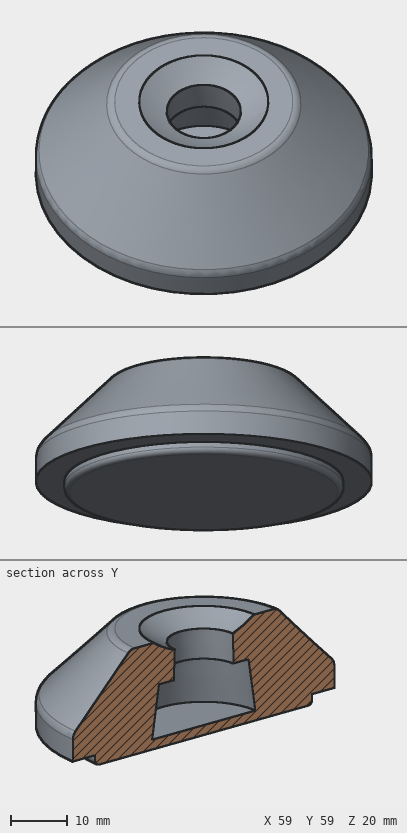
import cadquery as cq
import math

outer_radius = 29.5
height = 20.0
foot_radius = 49.0 / 2
foot_height = 1.95
foot_edge_radius = 1.0

shoulder_height = 6.95
flank_angle = 45.0
blend_radius = 2.0
flank_rise = height - shoulder_height
top_radius = outer_radius - flank_rise / math.tan(math.radians(flank_angle))

neck_radius = 6.5
neck_bottom_radius = 6.65
neck_depth = 8.15
seat_radius = 11.3
seat_sphere_radius = 20.0
chamber_top_radius = 10.05
chamber_bottom_radius = 11.55

seat_center_height = height + math.sqrt(seat_sphere_radius**2 - seat_radius**2)
neck_bottom = height - neck_depth


def point_on_seat(radius):
    """Return the profile point of the spherical seat at a given distance from the axis."""
    drop = math.sqrt(seat_sphere_radius**2 - radius**2)
    return radius, seat_center_height - drop


def make_body():
    profile = (
        cq.Workplane("XZ")
        .moveTo(0, 0)
        .lineTo(foot_radius, 0)
        .lineTo(foot_radius, foot_height)
        .lineTo(outer_radius, foot_height)
        .lineTo(outer_radius, shoulder_height)
        .lineTo(top_radius, height)
        .lineTo(0, height)
        .close()
    )
    body = profile.revolve(360, (0, 0, 0), (0, 1, 0))
    rings = body.edges("%CIRCLE").sort(lambda edge: edge.Center().z)
    body = rings[-2:].fillet(blend_radius)
    return body.faces("<Z").edges().fillet(foot_edge_radius)


def make_cavity():
    profile = (
        cq.Workplane("XZ")
        .moveTo(0, height)
        .lineTo(seat_radius, height)
        .threePointArc(point_on_seat((seat_radius + neck_radius) / 2), point_on_seat(neck_radius))
        .lineTo(neck_bottom_radius, neck_bottom)
        .lineTo(chamber_top_radius, neck_bottom)
        .lineTo(chamber_bottom_radius, foot_height)
        .lineTo(0, foot_height)
        .close()
    )
    return profile.revolve(360, (0, 0, 0), (0, 1, 0))


result = make_body().cut(make_cavity())